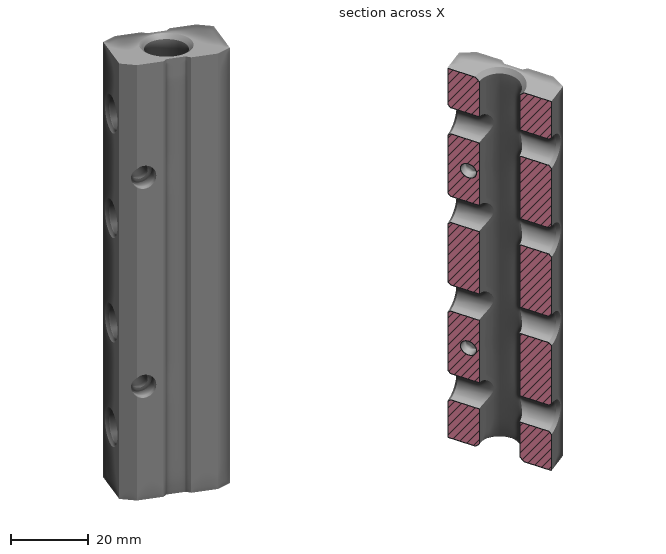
import cadquery as cq
import math

WIDTH = 18.0
DEPTH = 30.0
LENGTH = 125.0
CHAMFER_Y = 4.0
CHAMFER_ANGLE = 30.0
CHAMFER_X = CHAMFER_Y * math.tan(math.radians(CHAMFER_ANGLE))

GROOVE_DEPTH = 1.0
GROOVE_MOUTH = 7.5
GROOVE_FLOOR = 5.2

BORE_DIAMETER = 11.6
BORE_MOUTH = 14.0

PORT_COUNT = 4
PORT_PITCH = 30.0
PORT_DIAMETER = 8.7
PORT_MOUTH = 10.4

MOUNT_COUNT = 2
MOUNT_PITCH = 60.0
MOUNT_Y = -9.0
MOUNT_DIAMETER = 4.5
MOUNT_HEAD_DIAMETER = 6.6
MOUNT_HEAD_DEPTH = 4.0


def bar():
    """Chamfered rectangular bar with a tapered groove on both wide sides."""
    half_width = WIDTH / 2
    half_depth = DEPTH / 2
    right_side = [
        (half_width - CHAMFER_X, -half_depth),
        (half_width, -half_depth + CHAMFER_Y),
        (half_width, -GROOVE_MOUTH / 2),
        (half_width - GROOVE_DEPTH, -GROOVE_FLOOR / 2),
        (half_width - GROOVE_DEPTH, GROOVE_FLOOR / 2),
        (half_width, GROOVE_MOUTH / 2),
        (half_width, half_depth - CHAMFER_Y),
        (half_width - CHAMFER_X, half_depth),
    ]
    left_side = [(-x, y) for x, y in reversed(right_side)]
    return cq.Workplane("XY").polyline(right_side + left_side).close().extrude(LENGTH)


def countersunk_hole(diameter, mouth, length):
    """Through-hole cutter along Z from 0 to length with a 45 degree countersink at each end."""
    radius = diameter / 2
    mouth_radius = mouth / 2
    sink = mouth_radius - radius
    half_section = [
        (0, 0),
        (mouth_radius, 0),
        (radius, sink),
        (radius, length - sink),
        (mouth_radius, length),
        (0, length),
    ]
    return cq.Workplane("XZ").polyline(half_section).close().revolve(360, (0, 0), (0, 1))


def row_heights(count, pitch):
    """Z positions of a row of holes centred on the length of the bar."""
    return [LENGTH / 2 + (index - (count - 1) / 2) * pitch for index in range(count)]


def port(z):
    """Cutter for one port, running along Y at height z."""
    cutter = countersunk_hole(PORT_DIAMETER, PORT_MOUTH, DEPTH)
    return cutter.rotate((0, 0, 0), (1, 0, 0), -90).translate((0, -DEPTH / 2, z))


def mounting_hole(z):
    """Cutter for one mounting hole, running along X at height z."""
    side = cq.Workplane("YZ", origin=(-WIDTH / 2, MOUNT_Y, z))
    shank = side.circle(MOUNT_DIAMETER / 2).extrude(WIDTH)
    head = (
        side.workplane(offset=WIDTH - MOUNT_HEAD_DEPTH)
        .circle(MOUNT_HEAD_DIAMETER / 2)
        .extrude(MOUNT_HEAD_DEPTH)
    )
    return shank.union(head)


result = bar().cut(countersunk_hole(BORE_DIAMETER, BORE_MOUTH, LENGTH))
for height in row_heights(PORT_COUNT, PORT_PITCH):
    result = result.cut(port(height))
for height in row_heights(MOUNT_COUNT, MOUNT_PITCH):
    result = result.cut(mounting_hole(height))